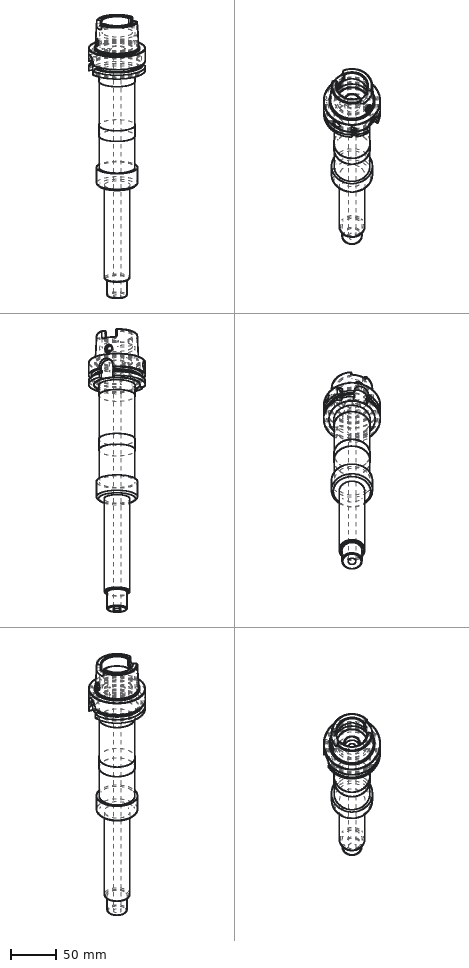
import cadquery as cq
import math


total_length = 321.7
shank_length = 32.0
bottom_z = shank_length - total_length

taper_ratio = 1 / 10
gauge_diameter = 48.0
gauge_height = 6.3
shank_rim_chamfer = 1.0
neck_top_z = 1.5
neck_radius = 23.6
face_recess_radius = 25.3
face_recess_depth = 0.6

flange_radius = 31.5
flange_length = 26.0
flange_chamfer = 0.5
groove_root_radius = 26.6
groove_ledge_radius = 28.8
groove_top_z = -15.0
groove_root_top_z = -16.8
groove_root_bottom_z = -19.1
groove_step_height = 0.5
groove_bottom_z = -21.5
hub_radius = 25.7
hub_height = 0.6
hub_cone_height = 0.6

body_radius = 20.0
band_radius = 20.25
band_length = 12.5
upper_band_bottom_z = -38.7
lower_band_top_z = -90.2
collar_radius = 22.85
collar_top_z = -139.7
collar_bottom_z = -160.0
collar_chamfer = 2.2
shaft_radius = 14.25
shaft_chamfer = 1.2
tip_radius = 11.15
tip_length = 20.0
tip_chamfer = 1.0

mouth_radius = 17.0
mouth_chamfer = 1.0
undercut_radius = 20.0
undercut_top_z = 18.8
undercut_angle = 30
undercut_bottom_z = 3.0
bore_floor_z = 0.0
counterbore_radius = 8.46
counterbore_chamfer = 0.6
counterbore_depth = 10.0
coolant_radius = 4.25

notch_width = 12.5
notch_flare = 3.0
notch_corner_radius = 2.5
front_notch_floor_z = 25.8
back_notch_floor_z = 22.2

cross_hole_diameter = 7.5
cross_hole_mouth_diameter = 9.6
cross_hole_z = 9.0

slot_radius = 8.0
keyway_top_z = -5.2
keyway_floor = hub_radius
side_notch_floor = 19.7
side_notch_edge_x = -20.2
side_notch_top_z = -3.6
chip_hole_diameter = 8.5
chip_hole_depth = 6.0
chip_hole_z = -7.0
chip_hole_angle = 187


def shank_radius(z):
    """Radius of the taper at height z."""
    return (gauge_diameter - (z - gauge_height) * taper_ratio) / 2


def outer_body():
    """Revolved outside of the holder, from the shank rim to the tip."""
    rim_z = shank_length
    tip_top_z = bottom_z + tip_length
    lower_band_bottom_z = lower_band_top_z - band_length
    flange_bottom_z = -flange_length
    profile = [
        (0, rim_z),
        (shank_radius(rim_z) - shank_rim_chamfer, rim_z),
        (shank_radius(rim_z - shank_rim_chamfer), rim_z - shank_rim_chamfer),
        (shank_radius(neck_top_z), neck_top_z),
        (neck_radius, neck_top_z - (shank_radius(neck_top_z) - neck_radius)),
        (neck_radius, -face_recess_depth),
        (face_recess_radius, -face_recess_depth),
        (face_recess_radius, 0),
        (flange_radius - flange_chamfer, 0),
        (flange_radius, -flange_chamfer),
        (flange_radius, groove_top_z),
        (groove_ledge_radius, groove_top_z),
        (groove_root_radius, groove_root_top_z),
        (groove_root_radius, groove_root_bottom_z),
        (groove_ledge_radius, groove_root_bottom_z),
        (groove_ledge_radius, groove_root_bottom_z - groove_step_height),
        (flange_radius, groove_bottom_z),
        (flange_radius, flange_bottom_z),
        (hub_radius, flange_bottom_z),
        (hub_radius, flange_bottom_z - hub_height),
        (band_radius, flange_bottom_z - hub_height - hub_cone_height),
        (band_radius, upper_band_bottom_z),
        (body_radius, upper_band_bottom_z),
        (body_radius, lower_band_top_z),
        (band_radius, lower_band_top_z),
        (band_radius, lower_band_bottom_z),
        (body_radius, lower_band_bottom_z),
        (body_radius, collar_top_z),
        (collar_radius, collar_top_z),
        (collar_radius, collar_bottom_z + collar_chamfer),
        (collar_radius - collar_chamfer, collar_bottom_z),
        (shaft_radius, collar_bottom_z),
        (shaft_radius, tip_top_z + shaft_chamfer),
        (shaft_radius - shaft_chamfer, tip_top_z),
        (tip_radius, tip_top_z),
        (tip_radius, bottom_z + tip_chamfer),
        (tip_radius - tip_chamfer, bottom_z),
        (0, bottom_z),
    ]
    return cq.Workplane("XZ").polyline(profile).close().revolve(360, (0, 0), (0, 1))


def inner_bore():
    """Revolved cavity: chamfered mouth, clamping undercut, counterbore and coolant hole."""
    undercut_step = undercut_radius - mouth_radius
    undercut_cone = undercut_step * math.tan(math.radians(undercut_angle))
    counterbore_floor_z = bore_floor_z - counterbore_depth
    profile = [
        (0, shank_length),
        (mouth_radius + mouth_chamfer, shank_length),
        (mouth_radius, shank_length - mouth_chamfer),
        (mouth_radius, undercut_top_z),
        (undercut_radius, undercut_top_z - undercut_cone),
        (undercut_radius, undercut_bottom_z),
        (mouth_radius, undercut_bottom_z - undercut_cone),
        (mouth_radius, bore_floor_z),
        (counterbore_radius + counterbore_chamfer, bore_floor_z),
        (counterbore_radius, bore_floor_z - counterbore_chamfer),
        (counterbore_radius, counterbore_floor_z),
        (coolant_radius, counterbore_floor_z),
        (coolant_radius, bottom_z),
        (0, bottom_z),
    ]
    return cq.Workplane("XZ").polyline(profile).close().revolve(360, (0, 0), (0, 1))


def shank_notch(side, floor_z):
    """Notch across the shank rim on side -1 (-Y) or +1 (+Y), flared at the outside."""
    half_width = notch_width / 2
    outer_half_width = half_width + notch_flare
    outer_y = math.sqrt(shank_radius(shank_length) ** 2 - outer_half_width ** 2)
    flare_start_y = outer_y - notch_flare
    clear_y = flange_radius
    outline = [
        (-half_width, 0),
        (half_width, 0),
        (half_width, side * flare_start_y),
        (outer_half_width, side * outer_y),
        (outer_half_width, side * clear_y),
        (-outer_half_width, side * clear_y),
        (-outer_half_width, side * outer_y),
        (-half_width, side * flare_start_y),
    ]
    notch = cq.Workplane("XY", origin=(0, 0, floor_z)).polyline(outline).close()
    notch = notch.extrude(shank_length - floor_z)
    floor_edges = notch.faces("<Z").edges("not |X")
    return floor_edges.fillet(notch_corner_radius)


def arched_slot(side, center_x, top_z, floor_y):
    """Round-topped slot through the flange, open downward, with a flat floor facing side * Y."""
    left_x = center_x - slot_radius
    right_x = center_x + slot_radius
    arch_z = top_z - slot_radius
    slot = cq.Workplane("XZ", origin=(0, side * floor_y, 0)).moveTo(left_x, -flange_length)
    slot = slot.lineTo(left_x, arch_z).threePointArc((center_x, top_z), (right_x, arch_z))
    slot = slot.lineTo(right_x, -flange_length).close()
    return slot.extrude(-side * (flange_radius - floor_y))


def cross_hole():
    """Hole along Y through both shank walls, countersunk on the outside."""
    radius = cross_hole_diameter / 2
    sink_radius = cross_hole_mouth_diameter / 2
    wall_y = shank_radius(cross_hole_z)
    sink_y = wall_y - (sink_radius - radius)
    profile = [
        (0, -flange_radius),
        (sink_radius, -flange_radius),
        (sink_radius, -wall_y),
        (radius, -sink_y),
        (radius, sink_y),
        (sink_radius, wall_y),
        (sink_radius, flange_radius),
        (0, flange_radius),
    ]
    hole = cq.Workplane("XY").polyline(profile).close().revolve(360, (0, 0), (0, 1))
    return hole.translate((0, 0, cross_hole_z))


def chip_hole():
    """Blind radial hole in the flange rim."""
    hole = cq.Workplane("YZ", origin=(flange_radius - chip_hole_depth, 0, chip_hole_z))
    hole = hole.circle(chip_hole_diameter / 2).extrude(2 * chip_hole_depth)
    return hole.rotate((0, 0, 0), (0, 0, 1), chip_hole_angle)


result = outer_body().cut(inner_bore())
result = result.cut(shank_notch(-1, front_notch_floor_z))
result = result.cut(shank_notch(1, back_notch_floor_z))
result = result.cut(cross_hole())
for side in (-1, 1):
    result = result.cut(arched_slot(side, 0, keyway_top_z, keyway_floor))
side_notch_x = side_notch_edge_x - slot_radius
result = result.cut(arched_slot(-1, side_notch_x, side_notch_top_z, side_notch_floor))
result = result.cut(chip_hole())